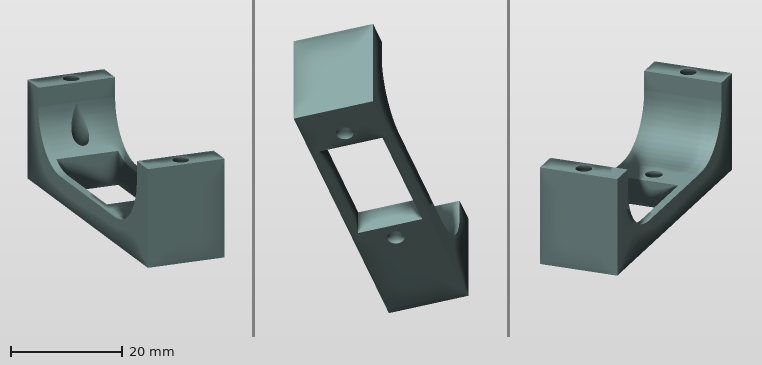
import cadquery as cq

length = 55.0
width = 15.0
height = 18.7

wall = 5.0
saddle_radius = 10.0

window_center_x = -6.15
window_length = 23.0
window_width = 12.1
mount_spacing = 29.5
mount_diameter = 3.2

screw_diameter = 3.0
screw_depth = 10.0
screw_spacing = length - wall


def make_saddle_cutter():
    """Open-topped channel along Y with rounded lower corners."""
    cutter_height = height - wall + saddle_radius
    return (
        cq.Workplane("XY")
        .workplane(offset=wall)
        .box(length - 2 * wall, width, cutter_height, centered=(True, True, False))
        .edges("|Y and <Z")
        .fillet(saddle_radius)
    )


def make_window_cutter():
    return (
        cq.Workplane("XY")
        .center(window_center_x, 0)
        .rect(window_length, window_width)
        .extrude(height)
    )


def make_mount_hole_cutter():
    return (
        cq.Workplane("XY")
        .center(window_center_x, 0)
        .pushPoints([(side * mount_spacing / 2, 0) for side in (-1, 1)])
        .circle(mount_diameter / 2)
        .extrude(height)
    )


def make_screw_hole_cutter():
    return (
        cq.Workplane("XY")
        .workplane(offset=height)
        .pushPoints([(side * screw_spacing / 2, 0) for side in (-1, 1)])
        .circle(screw_diameter / 2)
        .extrude(-screw_depth)
    )


block = cq.Workplane("XY").box(length, width, height, centered=(True, True, False))
result = (
    block.cut(make_saddle_cutter())
    .cut(make_window_cutter())
    .cut(make_mount_hole_cutter())
    .cut(make_screw_hole_cutter())
)